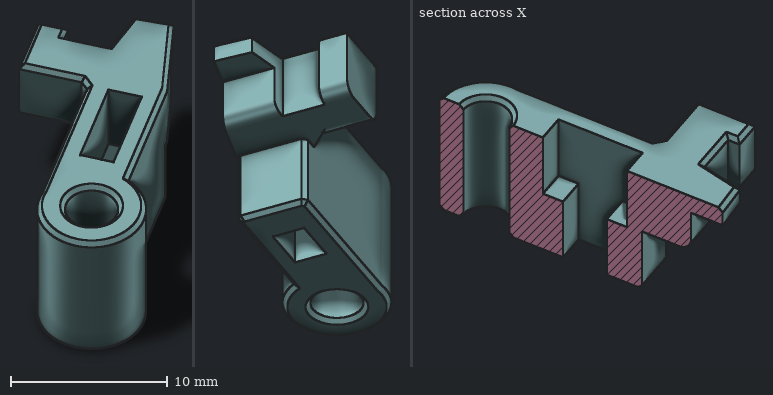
import cadquery as cq
import math


height = 9.75
arm_depth = 4.79
tooth_depth = 1.48
ledge_depth = height / 2
edge_chamfer = 0.32

pivot_radius = 3.5
hole_diameter = 3.4

body_left = -3.45
body_right = 1.52
body_back = 11.6
taper_start = 11.65

arm_left = -8.18
arm_front = 10.9
arm_back = 14.4
lug_right = -6.18
lug_back = 15.25
arm_fillet = 1.0
web_size = 0.5

tooth_root_left = -3.18
tooth_tip_left = -2.49
tooth_tip_left_y = 17.45
tooth_tip_bend = -0.34
tooth_tip_right = 0.17
tooth_tip_y = 21.08 - pivot_radius

slot_width = 2.23
slot_center_x = -0.93
slot_center_y = 7.34
slot_length = 6.25
slot_through_length = 3.25


def pivot_edge_y(x):
    """Upper Y where the pivot circle reaches the given X."""
    return math.sqrt(pivot_radius**2 - x**2)


def prism(sketch, depth):
    """Extrude an outline downward from the top face."""
    return sketch.close().extrude(-depth)


def pivot_outline():
    """Open outline around the pivot, from the left wall to the right wall."""
    return (
        cq.Workplane("XY")
        .moveTo(body_left, pivot_edge_y(body_left))
        .threePointArc((0, -pivot_radius), (body_right, pivot_edge_y(body_right)))
    )


def full_outline():
    """Prism of the whole plan shape, chamfered around its top edge."""
    sketch = (
        pivot_outline()
        .lineTo(body_right, taper_start)
        .lineTo(tooth_tip_right, tooth_tip_y)
        .lineTo(tooth_tip_bend, tooth_tip_y)
        .lineTo(tooth_tip_left, tooth_tip_left_y)
        .lineTo(tooth_root_left, arm_back)
        .lineTo(lug_right, arm_back)
        .lineTo(lug_right, lug_back)
        .lineTo(arm_left, lug_back)
        .lineTo(arm_left, arm_front)
        .lineTo(body_left - web_size, arm_front)
        .lineTo(body_left, arm_front - web_size)
    )
    return prism(sketch, height).faces(">Z").edges().chamfer(edge_chamfer)


def body():
    """Full-height lever body, chamfered at its back corners and bottom."""
    sketch = pivot_outline().lineTo(body_right, body_back).lineTo(body_left, body_back)
    block = prism(sketch, height).faces(">Y").edges("|Z").chamfer(edge_chamfer)
    return block.faces("<Z").edges().chamfer(edge_chamfer)


def arm():
    """Arm bar with rounded lower edges."""
    sketch = (
        cq.Workplane("XY")
        .moveTo(arm_left, arm_front)
        .lineTo(body_right, arm_front)
        .lineTo(body_right, lug_back)
        .lineTo(arm_left, lug_back)
    )
    return prism(sketch, arm_depth).faces("<Z").edges("|X").fillet(arm_fillet)


def corner_web():
    """Diagonal web between arm and body, reaching back past the arm's rounding."""
    web_reach = web_size + arm_fillet
    web_front = arm_front - web_size
    sketch = (
        cq.Workplane("XY")
        .moveTo(body_left, web_front)
        .lineTo(body_right, web_front)
        .lineTo(body_right, web_front + web_reach)
        .lineTo(body_left - web_reach, web_front + web_reach)
    )
    return prism(sketch, arm_depth)


def tooth():
    """Thin slab from the body to the tooth tip."""
    sketch = (
        cq.Workplane("XY")
        .moveTo(tooth_root_left, body_back)
        .lineTo(body_right, body_back)
        .lineTo(body_right, tooth_tip_y)
        .lineTo(tooth_root_left, tooth_tip_y)
    )
    return prism(sketch, tooth_depth)


def pivot_hole():
    """Through hole cutter with a chamfer at both ends."""
    radius = hole_diameter / 2
    rim = radius + edge_chamfer
    section = (
        cq.Workplane("XZ")
        .lineTo(rim, 0)
        .lineTo(radius, -edge_chamfer)
        .lineTo(radius, edge_chamfer - height)
        .lineTo(rim, -height)
        .lineTo(0, -height)
        .close()
    )
    return section.revolve(360, (0, 0), (0, 1))


def slot_pocket(length, depth):
    """Rectangular slot cutter, open at the top."""
    start = cq.Workplane("XY").center(slot_center_x, slot_center_y)
    return start.rect(slot_width, length).extrude(-depth)


levels = body().union(arm()).union(corner_web()).union(tooth())
result = full_outline().intersect(levels)
result = result.cut(pivot_hole())
result = result.cut(slot_pocket(slot_length, ledge_depth))
result = result.cut(slot_pocket(slot_through_length, height))